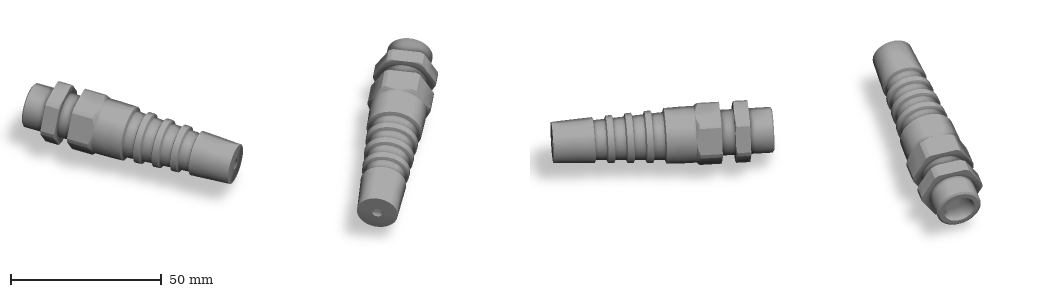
import cadquery as cq
import math

total_length = 73.5

hex_flats = 19.0
hex_corner_radius = 21.1 / 2
body_hex_start = 8.0
body_hex_end = 12.9
body_hex_chamfer_length = 0.3
body_hex_chamfer_depth = 0.5
nut_hex_start = 17.5
nut_hex_end = 25.95
nut_hex_chamfer = 1.1

thread_radius = 15.2 / 2
thread_chamfer_length = 0.5
thread_chamfer_depth = 0.65

collar_radius = 18.9 / 2
collar_taper_start = 29.9
collar_end = 35.95
collar_end_radius = 9.25

groove_count = 4
groove_pitch = 6.5
groove_length = 3.5
rib_flank_length = 0.45
first_groove_start = collar_end + rib_flank_length
first_groove_radius = 7.95
first_rib_radius = 8.75
radius_drop_per_pitch = 0.4
rib_taper = radius_drop_per_pitch / groove_pitch
sleeve_end_radius = 6.8

bore_mouth_radius = 5.3
bore_floor_radius = 4.7
bore_depth = nut_hex_start
cable_hole_radius = 3.5 / 2


def revolve_about_axis(outline):
    """Turn a closed (x, radius) outline about the X axis."""
    profile = cq.Workplane("XY").polyline(outline).close()
    return profile.revolve(360, (0, 0, 0), (1, 0, 0))


def turned_hexagon(start, end, chamfer_length, chamfer_depth):
    """Hexagon with flats facing +Z and -Z, rounded corners and a turned far edge."""
    corner_to_corner = hex_flats / math.cos(math.pi / 6)
    prism = cq.Workplane("YZ", origin=(start, 0, 0)).polygon(6, corner_to_corner).extrude(end - start)
    turned_limit = revolve_about_axis([
        (start, 0),
        (start, hex_corner_radius),
        (end - chamfer_length, hex_corner_radius),
        (end, hex_corner_radius - chamfer_depth),
        (end, 0),
    ])
    return prism.intersect(turned_limit)


def round_body():
    """Thread, collar and ribbed sleeve turned as one outline."""
    outline = [
        (0, 0),
        (0, thread_radius - thread_chamfer_depth),
        (thread_chamfer_length, thread_radius),
        (nut_hex_start, thread_radius),
        (nut_hex_start, collar_radius),
        (collar_taper_start, collar_radius),
        (collar_end, collar_end_radius),
    ]
    rib_length = groove_pitch - groove_length - 2 * rib_flank_length
    for index in range(groove_count):
        groove_start = first_groove_start + index * groove_pitch
        groove_end = groove_start + groove_length
        rib_start = groove_end + rib_flank_length
        drop = index * radius_drop_per_pitch
        groove_radius = first_groove_radius - drop
        rib_radius = first_rib_radius - drop
        outline += [
            (groove_start, groove_radius),
            (groove_end, groove_radius - groove_length * rib_taper),
            (rib_start, rib_radius),
        ]
        if index < groove_count - 1:
            outline.append((rib_start + rib_length, rib_radius - rib_length * rib_taper))
    outline += [(total_length, sleeve_end_radius), (total_length, 0)]
    return revolve_about_axis(outline)


def inner_passage():
    """Tapered entry bore continuing as the cable hole through the sleeve."""
    return revolve_about_axis([
        (0, 0),
        (0, bore_mouth_radius),
        (bore_depth, bore_floor_radius),
        (bore_depth, cable_hole_radius),
        (total_length, cable_hole_radius),
        (total_length, 0),
    ])


body_hex = turned_hexagon(
    body_hex_start, body_hex_end, body_hex_chamfer_length, body_hex_chamfer_depth
)
nut_hex = turned_hexagon(nut_hex_start, nut_hex_end, nut_hex_chamfer, nut_hex_chamfer)

result = round_body().union(body_hex).union(nut_hex).cut(inner_passage())